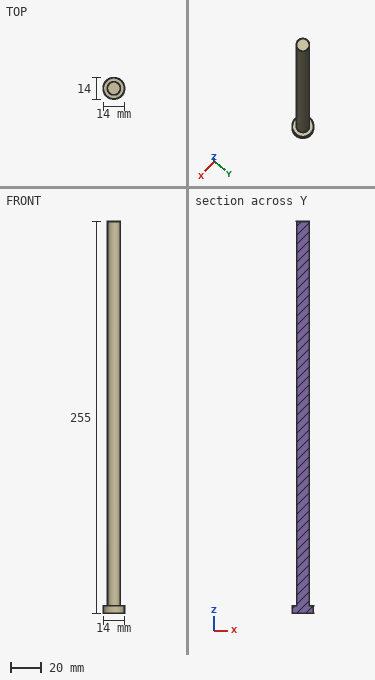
import cadquery as cq

overall_length = 255.0
head_diameter = 14.0
head_height = 5.0
shaft_diameter = 8.5
shaft_length = overall_length - head_height


def make_head():
    """Round disc with its underside on the XY plane."""
    return cq.Workplane("XY").circle(head_diameter / 2).extrude(head_height)


def add_shaft(head):
    """Straight cylindrical shaft, centred on the top face of the head."""
    return head.faces(">Z").workplane().circle(shaft_diameter / 2).extrude(shaft_length)


result = add_shaft(make_head())